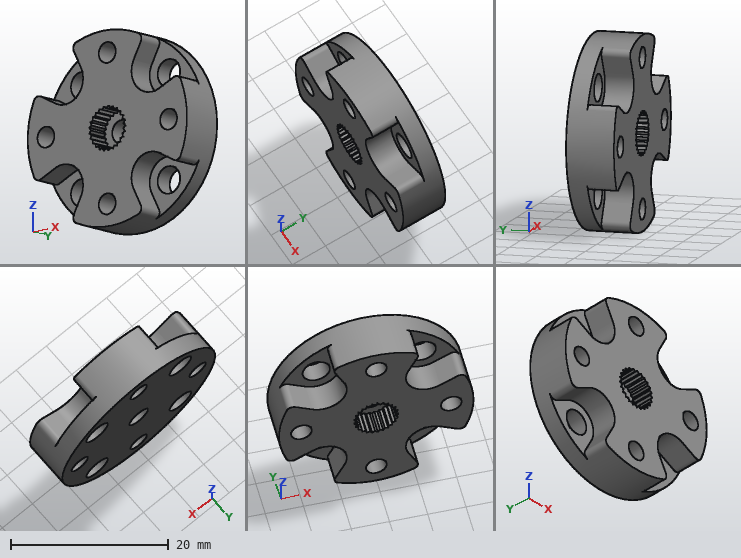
import cadquery as cq
import math

full_turn = 360

disc_diameter = 25.4
hub_thickness = 6.35
pocket_depth = 3.81

pitch_radius = 9.779
large_hole_diameter = 3.56
small_hole_diameter = 2.7
holes_per_size = 4
hole_spacing = full_turn / holes_per_size
large_hole_start = hole_spacing / 2

pocket_end_radius = 3.06
pocket_flank_angle = 18.0
lobe_corner_radius = 0.81

tooth_count = 25
tooth_tip_radius = 2.88
tooth_root_radius = 2.59
socket_depth = 3.05
screw_hole_diameter = 3.06

disc_radius = disc_diameter / 2
front_y = -hub_thickness / 2


def polar(radius, angle):
    """Point in the face plane at a radius and an angle in degrees."""
    turn = math.radians(angle)
    return (radius * math.cos(turn), radius * math.sin(turn))


def front_plane():
    """Sketch plane on the front face; local x, y are X, Z; its normal points out of the part."""
    return cq.Workplane("XZ", origin=(0, front_y, 0))


def make_disc():
    return front_plane().circle(disc_radius).extrude(-hub_thickness)


def make_pocket():
    """One pocket cutter, opening along +X, with the lobe corners beside it rounded."""
    flank = math.radians(pocket_flank_angle)
    tangent_x = pitch_radius - pocket_end_radius * math.sin(flank)
    tangent_y = pocket_end_radius * math.cos(flank)
    inner_x = pitch_radius - pocket_end_radius

    corner_orbit = disc_radius - lobe_corner_radius
    flank_offset = pocket_end_radius + lobe_corner_radius
    corner_turn = flank + math.asin((flank_offset - pitch_radius * math.sin(flank)) / corner_orbit)
    corner_x = corner_orbit * math.cos(corner_turn)
    corner_y = corner_orbit * math.sin(corner_turn)

    flank_end_x = corner_x + lobe_corner_radius * math.sin(flank)
    flank_end_y = corner_y - lobe_corner_radius * math.cos(flank)
    rim_x = disc_radius * math.cos(corner_turn)
    rim_y = disc_radius * math.sin(corner_turn)
    middle_turn = (corner_turn + flank - math.pi / 2) / 2
    middle_x = corner_x + lobe_corner_radius * math.cos(middle_turn)
    middle_y = corner_y + lobe_corner_radius * math.sin(middle_turn)

    return (
        front_plane()
        .moveTo(rim_x, -rim_y)
        .threePointArc((middle_x, -middle_y), (flank_end_x, -flank_end_y))
        .lineTo(tangent_x, -tangent_y)
        .threePointArc((inner_x, 0), (tangent_x, tangent_y))
        .lineTo(flank_end_x, flank_end_y)
        .threePointArc((middle_x, middle_y), (rim_x, rim_y))
        .threePointArc((disc_radius, 0), (rim_x, -rim_y))
        .close()
        .extrude(-pocket_depth)
    )


def cut_pockets(body):
    pocket = make_pocket()
    for index in range(holes_per_size):
        angle = large_hole_start + index * hole_spacing
        body = body.cut(pocket.rotate((0, 0, 0), (0, 1, 0), angle))
    return body


def make_bolt_holes(diameter, start_angle):
    return (
        front_plane()
        .polarArray(pitch_radius, start_angle, full_turn, holes_per_size)
        .circle(diameter / 2)
        .extrude(-hub_thickness)
    )


def make_socket():
    """Toothed recess with one tooth tip pointing along +X."""
    tooth_pitch = full_turn / tooth_count
    outline = []
    for index in range(tooth_count):
        tip_angle = index * tooth_pitch
        outline.append(polar(tooth_tip_radius, tip_angle))
        outline.append(polar(tooth_root_radius, tip_angle + tooth_pitch / 2))
    return front_plane().polyline(outline).close().extrude(-socket_depth)


def make_screw_hole():
    return front_plane().circle(screw_hole_diameter / 2).extrude(-hub_thickness)


hub = cut_pockets(make_disc())
hub = hub.cut(make_bolt_holes(large_hole_diameter, large_hole_start))
hub = hub.cut(make_bolt_holes(small_hole_diameter, 0))
hub = hub.cut(make_socket())
result = hub.cut(make_screw_hole())